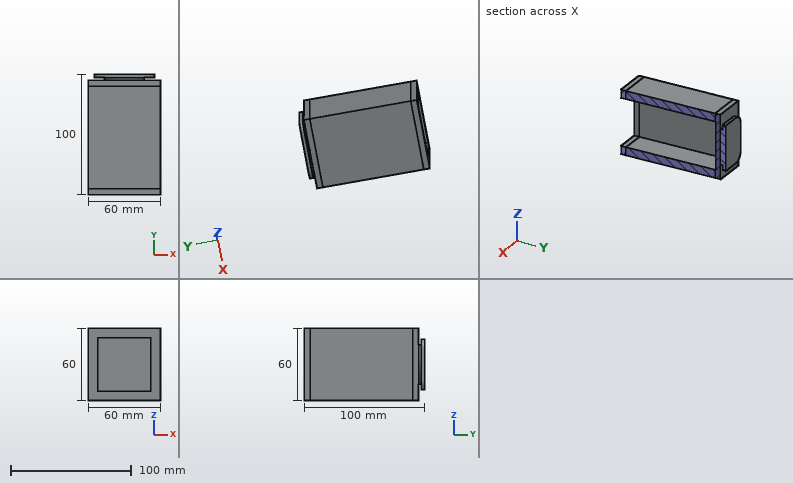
import cadquery as cq

box_width = 60.0
box_length = 95.0
end_thickness = 5.0
opening_width = 44.0
tube_length = box_length - 2 * end_thickness

mount_length = 5.0
flange_thickness = 3.0
flange_width = 50.0
flange_height = 42.0
flange_corner_radius = 8.0
neck_diameter = 33.0
neck_length = mount_length - flange_thickness

frame_front = 0.0
tube_front = frame_front + end_thickness
cap_front = tube_front + tube_length
neck_front = cap_front + end_thickness
flange_front = neck_front + neck_length


def plane_at(y):
    """Plane facing +Y, with its local Y axis along +Z."""
    return cq.Workplane(cq.Plane(origin=(0, y, 0), xDir=(-1, 0, 0), normal=(0, 1, 0)))


def square_ring(front, length):
    """Square section with the square opening running right through it."""
    return (
        plane_at(front)
        .rect(box_width, box_width)
        .rect(opening_width, opening_width)
        .extrude(length)
    )


def rear_cap():
    """Plain square plate that closes the rear of the tube."""
    return plane_at(cap_front).rect(box_width, box_width).extrude(end_thickness)


def rear_mount():
    """Round neck and its flange as one solid."""
    neck = plane_at(neck_front).circle(neck_diameter / 2).extrude(neck_length)
    flange = (
        plane_at(flange_front)
        .rect(flange_width, flange_height)
        .extrude(flange_thickness)
        .edges("|Y")
        .fillet(flange_corner_radius)
    )
    return neck.union(flange)


front_frame = square_ring(frame_front, end_thickness)
tube = square_ring(tube_front, tube_length)
cap = rear_cap()
mount = rear_mount()

result = cq.Compound.makeCompound([front_frame.val(), tube.val(), cap.val(), mount.val()])